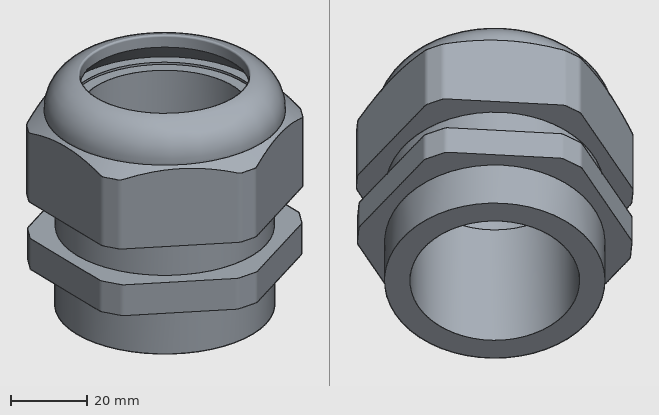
import cadquery as cq
import math

HEXAGON_SIDES = 6
SIDE_ANGLE = 360 / HEXAGON_SIDES
HALF_SIDE_ANGLE = SIDE_ANGLE / 2
ACROSS_FLATS = 65.1
NUT_ACROSS_CORNERS = 72.3
COLLAR_ACROSS_CORNERS = 71.6
NUT_CORNER_RADIUS = 2.6
COLLAR_CORNER_RADIUS = 2.2

COLLAR_BOTTOM = 14.0
COLLAR_TOP = 23.05
NUT_BOTTOM = 33.6
SEAL_SEAT = 40.6
NUT_CHAMFER_START = 53.85
NUT_CHAMFER_END = 56.9
DOME_BASE = 57.4
TOTAL_HEIGHT = 67.5

THREAD_RADIUS = 28.85
NECK_RADIUS = 28.7
DOME_RADIUS = 31.6
BORE_RADIUS = 22.2
SEAL_RADIUS = 25.6

MOUTH_RADIUS = BORE_RADIUS
LIP_RADIUS = 0.5
MOUTH_BOTTOM = 64.1
BODY_TOP = 58.0
SEAL_RECESS = 0.65
SEAL_TOP = BODY_TOP - SEAL_RECESS


def hexagonal_prism(across_flats, first_flat_angle, bottom, top):
    """Hexagonal prism whose first flat faces first_flat_angle degrees from +X."""
    point_radius = across_flats / 2 / math.cos(math.radians(HALF_SIDE_ANGLE))
    corners = []
    for index in range(HEXAGON_SIDES):
        angle = math.radians(first_flat_angle + HALF_SIDE_ANGLE + SIDE_ANGLE * index)
        corners.append((point_radius * math.cos(angle), point_radius * math.sin(angle)))
    return cq.Workplane("XY").workplane(offset=bottom).polyline(corners).close().extrude(top - bottom)


def hexagon_with_flat_corners(across_corners, corner_radius, bottom, top):
    """Hexagonal prism with flats facing +X and -X, each corner cut flat and blended."""
    prism = hexagonal_prism(ACROSS_FLATS, 0, bottom, top)
    corner_limit = hexagonal_prism(across_corners, HALF_SIDE_ANGLE, bottom, top)
    return prism.intersect(corner_limit).edges("|Z").fillet(corner_radius)


def cylinder(radius, bottom, top):
    return cq.Workplane("XY").workplane(offset=bottom).circle(radius).extrude(top - bottom)


def revolve_about_z(profile):
    """Turn a closed profile, drawn as (radius, height), about the Z axis."""
    return profile.revolve(360, (0, 0, 0), (0, 1, 0))


def make_body():
    """Threaded tube with a hexagonal collar and a counterbore for the seal."""
    thread = cylinder(THREAD_RADIUS, 0, COLLAR_BOTTOM)
    collar = hexagon_with_flat_corners(
        COLLAR_ACROSS_CORNERS, COLLAR_CORNER_RADIUS, COLLAR_BOTTOM, COLLAR_TOP
    )
    neck = cylinder(NECK_RADIUS, COLLAR_TOP, BODY_TOP)
    bore = cylinder(BORE_RADIUS, 0, SEAL_SEAT)
    counterbore = cylinder(SEAL_RADIUS, SEAL_SEAT, BODY_TOP)
    return thread.union(collar).union(neck).cut(bore).cut(counterbore)


def make_seal():
    """Plain sleeve in the counterbore, a little below the end of the body."""
    sleeve = cylinder(SEAL_RADIUS, SEAL_SEAT, SEAL_TOP)
    return sleeve.cut(cylinder(BORE_RADIUS, SEAL_SEAT, SEAL_TOP))


def make_nut_hexagon():
    """Hexagonal skirt of the nut with a conical chamfer on its upper corners."""
    hexagon = hexagon_with_flat_corners(
        NUT_ACROSS_CORNERS, NUT_CORNER_RADIUS, NUT_BOTTOM, NUT_CHAMFER_END
    )
    corner_radius = NUT_ACROSS_CORNERS / 2
    chamfer_slope = (NUT_CHAMFER_END - NUT_CHAMFER_START) / (corner_radius - DOME_RADIUS)
    apex_height = NUT_CHAMFER_END + DOME_RADIUS * chamfer_slope
    base_radius = (apex_height - NUT_BOTTOM) / chamfer_slope
    chamfer_cone = revolve_about_z(
        cq.Workplane("XZ")
        .moveTo(0, NUT_BOTTOM)
        .lineTo(base_radius, NUT_BOTTOM)
        .lineTo(0, apex_height)
        .close()
    )
    return hexagon.intersect(chamfer_cone)


def make_dome():
    """Rounded cap of the nut, solid apart from the rounded rim of its mouth."""
    crown_radius = MOUTH_RADIUS + LIP_RADIUS
    rise = TOTAL_HEIGHT - DOME_BASE
    run = DOME_RADIUS - crown_radius
    rounding = (rise**2 + run**2) / (2 * run)
    half_sweep = math.asin(rise / rounding) / 2
    dome_middle = (
        DOME_RADIUS - rounding * (1 - math.cos(half_sweep)),
        DOME_BASE + rounding * math.sin(half_sweep),
    )
    lip_inset = LIP_RADIUS * (1 - math.sin(math.radians(45)))
    lip_middle = (MOUTH_RADIUS + lip_inset, TOTAL_HEIGHT - lip_inset)
    return revolve_about_z(
        cq.Workplane("XZ")
        .moveTo(0, NUT_BOTTOM)
        .lineTo(DOME_RADIUS, NUT_BOTTOM)
        .lineTo(DOME_RADIUS, DOME_BASE)
        .threePointArc(dome_middle, (crown_radius, TOTAL_HEIGHT))
        .threePointArc(lip_middle, (MOUTH_RADIUS, TOTAL_HEIGHT - LIP_RADIUS))
        .lineTo(0, TOTAL_HEIGHT - LIP_RADIUS)
        .close()
    )


def make_nut_cavity():
    """Bore for the neck, closing in a cone to the mouth."""
    return revolve_about_z(
        cq.Workplane("XZ")
        .moveTo(0, NUT_BOTTOM)
        .lineTo(NECK_RADIUS, NUT_BOTTOM)
        .lineTo(NECK_RADIUS, BODY_TOP)
        .lineTo(MOUTH_RADIUS, MOUTH_BOTTOM)
        .lineTo(MOUTH_RADIUS, TOTAL_HEIGHT)
        .lineTo(0, TOTAL_HEIGHT)
        .close()
    )


def make_dome_nut():
    """Hexagon and dome in one piece, hollowed to fit over the neck of the body."""
    return make_nut_hexagon().union(make_dome()).cut(make_nut_cavity())


body = make_body()
seal = make_seal()
dome_nut = make_dome_nut()

result = cq.Compound.makeCompound([body.val(), seal.val(), dome_nut.val()])